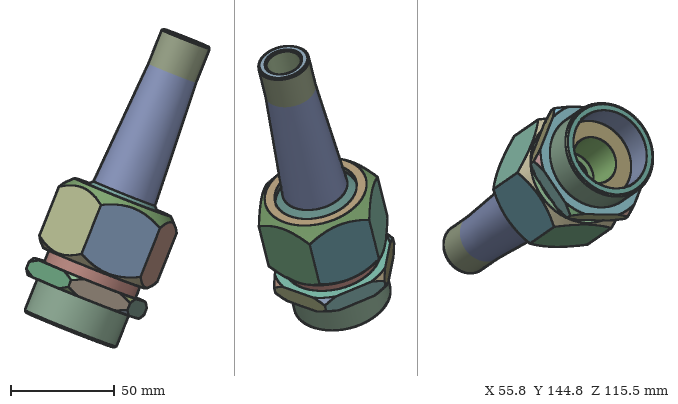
import cadquery as cq
import math


climb_angle = 34.7
lean_angle = 1.0

hex_width = 54.9
hex_corner_radius = hex_width / 2 / math.cos(math.radians(30))

spigot_radius = 47.8 / 2
spigot_chamfer = 0.9
flange_bottom = 17.2
flange_top = 26.0
flange_face_radius = 29.0
neck_radius = 47.6 / 2
collar_radius = 44.7 / 2
nozzle_base_radius = 16.0
nozzle_base = 71.1
tip_radius = 25.0 / 2
tip_start = 133.6
tip_end = 152.0
tip_chamfer = 0.7
flare_angle = 42.0

socket_radius = 40.0 / 2
socket_depth = 16.4
middle_bore_radius = 23.5 / 2
middle_bore_end = 40.0
nozzle_bore_radius = 17.0 / 2
nozzle_bore_chamfer = 0.7

nut_bottom = 32.1
nut_top = 69.0
nut_hole_radius = 40.5 / 2
nut_bottom_face_radius = 26.8
nut_top_face_radius = 50.2 / 2


def flare_height(radius):
    """Height at which the flare has the given radius."""
    return nozzle_base - (radius - nozzle_base_radius) / math.tan(math.radians(flare_angle))


neck_top = middle_bore_end
flare_start = flare_height(collar_radius)


def revolve_profile(points):
    """Solid of revolution about Z from (radius, height) points."""
    return cq.Workplane("XZ").polyline(points).close().revolve(360, (0, 0, 0), (0, 1, 0))


def chamfered_hexagon(bottom, top, bottom_face_radius, top_face_radius):
    """Hexagonal block with two flats facing X and its corners turned to 45 degree cones."""
    hexagon = (
        cq.Workplane("XY")
        .workplane(offset=bottom)
        .transformed(rotate=(0, 0, 30))
        .polygon(6, 2 * hex_corner_radius)
        .extrude(top - bottom)
    )
    turned_envelope = revolve_profile([
        (0, bottom),
        (bottom_face_radius, bottom),
        (hex_corner_radius, bottom + hex_corner_radius - bottom_face_radius),
        (hex_corner_radius, top - hex_corner_radius + top_face_radius),
        (top_face_radius, top),
        (0, top),
    ])
    return hexagon.intersect(turned_envelope)


def make_fitting():
    outside = revolve_profile([
        (0, 0),
        (spigot_radius - spigot_chamfer, 0),
        (spigot_radius, spigot_chamfer),
        (spigot_radius, flange_top),
        (neck_radius, flange_top),
        (neck_radius, neck_top),
        (collar_radius, neck_top),
        (collar_radius, flare_start),
        (nozzle_base_radius, nozzle_base),
        (tip_radius, tip_start),
        (tip_radius, tip_end - tip_chamfer),
        (tip_radius - tip_chamfer, tip_end),
        (0, tip_end),
    ])
    flange = chamfered_hexagon(
        flange_bottom, flange_top, flange_face_radius, flange_face_radius
    )
    bore = revolve_profile([
        (0, 0),
        (socket_radius, 0),
        (socket_radius, socket_depth),
        (middle_bore_radius, socket_depth),
        (middle_bore_radius, middle_bore_end),
        (nozzle_bore_radius, middle_bore_end),
        (nozzle_bore_radius, tip_end - nozzle_bore_chamfer),
        (nozzle_bore_radius + nozzle_bore_chamfer, tip_end),
        (0, tip_end),
    ])
    return outside.union(flange).cut(bore)


def make_nut():
    """Union nut whose inside matches the neck, the collar and the flare of the fitting."""
    block = chamfered_hexagon(nut_bottom, nut_top, nut_bottom_face_radius, nut_top_face_radius)
    cavity = revolve_profile([
        (0, nut_bottom),
        (neck_radius, nut_bottom),
        (neck_radius, neck_top),
        (collar_radius, neck_top),
        (collar_radius, flare_start),
        (nut_hole_radius, flare_height(nut_hole_radius)),
        (nut_hole_radius, nut_top),
        (0, nut_top),
    ])
    return block.cut(cavity)


def place(body):
    """Turn a body from the Z axis onto the inclined common axis."""
    tilted = body.rotate((0, 0, 0), (1, 0, 0), climb_angle - 90)
    return tilted.rotate((0, 0, 0), (0, 0, 1), lean_angle)


fitting = place(make_fitting())
nut = place(make_nut())

result = cq.Compound.makeCompound([fitting.val(), nut.val()])